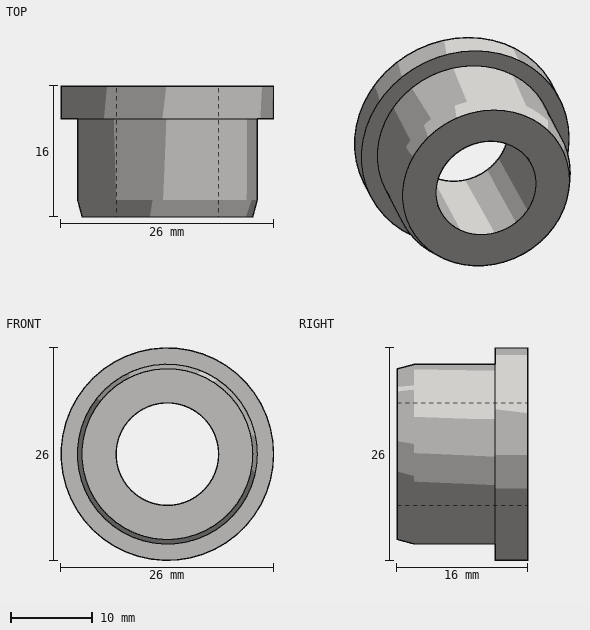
import cadquery as cq
import math

flange_diameter = 26.0
flange_thickness = 4.0
body_diameter = 22.0
bore_diameter = 12.5
total_length = 16.0
taper_length = 2.08
taper_angle = 15.0

flange_radius = flange_diameter / 2
body_radius = body_diameter / 2
bore_radius = bore_diameter / 2
tip_radius = body_radius - taper_length * math.tan(math.radians(taper_angle))

half_section = (
    cq.Workplane("XY")
    .moveTo(bore_radius, 0)
    .lineTo(flange_radius, 0)
    .lineTo(flange_radius, -flange_thickness)
    .lineTo(body_radius, -flange_thickness)
    .lineTo(body_radius, -total_length + taper_length)
    .lineTo(tip_radius, -total_length)
    .lineTo(bore_radius, -total_length)
    .close()
)

result = half_section.revolve(360, (0, 0, 0), (0, 1, 0))